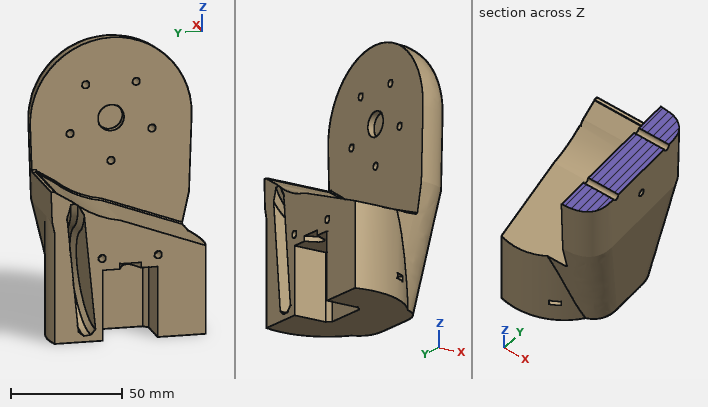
import cadquery as cq
import math


head_width = 74.9
head_radius = head_width / 2
total_height = 131.2
head_center_z = total_height - head_radius
plate_face_x = 35.4
plate_back_x = 52.5
plate_thickness = plate_back_x - plate_face_x
round_over_width = 14.2

taper_z = 57.0
taper_half_width = 36.2
foot_half_width = 23.6
foot_back_x = 45.8

barrel_radius = taper_half_width
barrel_axis_x = 9.2
root_chamfer = 0.8

clearance = 13.1

ramp_angle = 20.0
ramp_end = (4.5, 55.6)
hollow_middle = (15.1, 58.6)
hollow_end = (26.4, 65.5)
shelf_start = (34.8, 70.6)
shelf_z = 71.0

screw_circle_radius = 20.0
screw_count = 5
screw_diameter = 3.4
bore_diameter = 12.1
bore_depth = 3.4

pocket_width = 25.5
pocket_height = 32.9
pocket_depth = 19.2
pocket_chamfer = 2.2
notch_mouth_width = 10.0
notch_end_width = 5.1
notch_side_depth = 5.2
notch_depth = 7.0
notch_height = 2.5

pilot_spacing = 26.0
pilot_z = 38.5
pilot_diameter = 3.4
pilot_depth = 7.9
drill_tip_angle = 118.0

slot_width = 8.0
slot_chamfer = 2.4
slot_tilt = 5.6
slot_bottom_y = 19.5
slot_arc_radius = 24.9
slot_arc_center = (2.6, 27.8)
slot_lip_angle = 66.0
slot_exit_z = 65.0

recess_angle = 30.2
recess_width = 5.5
recess_depth = 5.2
recess_height = 2.5
recess_z = 10.0


def half_section(half_width, back_x):
    """Section in the XY plane from the middle out to one side, with a parabolic back corner."""
    return (
        cq.Workplane("XY")
        .lineTo(0, half_width)
        .lineTo(back_x - plate_thickness, half_width)
        .bezier([(back_x, half_width), (back_x, half_width - round_over_width)], includeCurrent=True)
        .lineTo(back_x, 0)
        .close()
    )


def make_body():
    """Round head with sides running tangent from it, tapering and thinning to the bottom."""
    corner_drop = head_center_z - taper_z
    corner_distance = math.hypot(taper_half_width, corner_drop)
    tangent_angle = math.degrees(
        math.atan2(corner_drop, taper_half_width) - math.acos(head_radius / corner_distance)
    )
    head = (
        half_section(head_radius, plate_back_x)
        .revolve(180 + 2 * tangent_angle, (0, 0), (1, 0))
        .rotate((0, 0, 0), (1, 0, 0), -tangent_angle)
        .translate((0, 0, head_center_z))
    )
    tangent_wire = (
        half_section(head_radius, plate_back_x)
        .wires()
        .val()
        .rotate((0, 0, 0), (1, 0, 0), -tangent_angle)
        .translate((0, 0, head_center_z))
    )
    taper_wire = half_section(taper_half_width, plate_back_x).wires().val().translate((0, 0, taper_z))
    bottom_wire = half_section(foot_half_width, foot_back_x).wires().val()
    side = cq.Solid.makeLoft([bottom_wire, taper_wire, tangent_wire], True)
    sides = cq.Workplane(side).union(cq.Workplane(side.mirror("XZ")))
    return head.union(sides)


def make_barrel():
    """Upright cylinder around the foot, cut flush with the block face."""
    barrel = cq.Workplane("XY").center(barrel_axis_x, 0).circle(barrel_radius).extrude(taper_z)
    front_half = cq.Workplane("XY").box(2 * barrel_radius, 2 * barrel_radius, taper_z,
                                        centered=(False, True, False))
    return barrel.intersect(front_half)


def space_above_block(x, lift):
    """Closed YZ outline of the space above the block's top line, raised by lift."""
    side_y = head_radius + clearance
    ramp_low_z = ramp_end[1] - (ramp_end[0] + side_y) * math.tan(math.radians(ramp_angle))
    return (
        cq.Workplane("YZ", origin=(x, 0, lift))
        .moveTo(-side_y, ramp_low_z)
        .lineTo(*ramp_end)
        .threePointArc(hollow_middle, hollow_end)
        .lineTo(*shelf_start)
        .lineTo(shelf_start[0], shelf_z)
        .lineTo(side_y, shelf_z)
        .lineTo(side_y, total_height + clearance)
        .lineTo(-side_y, total_height + clearance)
        .close()
    )


def make_top_cutter():
    """Clears the space above the block and leaves a chamfer along the plate face."""
    chamfer_x = plate_face_x - root_chamfer
    straight = space_above_block(-clearance, 0).extrude(chamfer_x + clearance)
    low_wire = space_above_block(chamfer_x, 0).wires().val()
    high_wire = space_above_block(plate_face_x, root_chamfer).wires().val()
    return straight.union(cq.Workplane(cq.Solid.makeLoft([low_wire, high_wire], True)))


def make_plate_holes():
    """Blind bore at the head center and a ring of through screw holes around it."""
    bore = (
        cq.Workplane("YZ", origin=(plate_face_x, 0, head_center_z))
        .circle(bore_diameter / 2)
        .extrude(bore_depth)
    )
    screws = (
        cq.Workplane("YZ", origin=(plate_face_x - clearance, 0, head_center_z))
        .polarArray(screw_circle_radius, -90, 360, screw_count)
        .circle(screw_diameter / 2)
        .extrude(plate_thickness + 2 * clearance)
    )
    return bore.union(screws)


def make_pocket():
    """Pocket with chamfered inner corners and a tapering notch in its ceiling."""
    pocket = (
        cq.Workplane("XY")
        .box(pocket_depth, pocket_width, pocket_height, centered=(False, True, False))
        .edges("|Z and >X")
        .chamfer(pocket_chamfer)
    )
    notch = (
        cq.Workplane("XY")
        .moveTo(0, -notch_mouth_width / 2)
        .lineTo(notch_side_depth, -notch_end_width / 2)
        .threePointArc((notch_depth, 0), (notch_side_depth, notch_end_width / 2))
        .lineTo(0, notch_mouth_width / 2)
        .close()
        .extrude(pocket_height + notch_height)
    )
    return pocket.union(notch)


def make_pilot_hole(y):
    """Blind drilled hole with a conical tip, turned about an axis along X."""
    radius = pilot_diameter / 2
    tip_length = radius / math.tan(math.radians(drill_tip_angle / 2))
    return (
        cq.Workplane("XY", origin=(0, y, pilot_z))
        .polyline([(0, 0), (pilot_depth + tip_length, 0), (pilot_depth, radius), (0, radius)])
        .close()
        .revolve(360, (0, 0), (1, 0))
    )


def make_slot():
    """Slot whose floor is an arc that flares out to the face at its upper end."""
    center_x, center_z = slot_arc_center
    lip = math.radians(slot_lip_angle)
    lip_x = center_x + slot_arc_radius * math.cos(lip)
    lip_z = center_z + slot_arc_radius * math.sin(lip)
    return (
        cq.Workplane("XZ", origin=(0, slot_width / 2, 0))
        .moveTo(center_x - slot_arc_radius, center_z)
        .threePointArc((center_x + slot_arc_radius, center_z), (lip_x, lip_z))
        .tangentArcPoint((0, slot_exit_z), relative=False)
        .lineTo(center_x - slot_arc_radius, slot_exit_z + clearance)
        .close()
        .extrude(slot_width)
        .faces("|Y")
        .edges()
        .chamfer(slot_chamfer)
        .rotate((0, 0, 0), (1, 0, 0), -slot_tilt)
        .translate((0, slot_bottom_y, 0))
    )


def make_side_recess():
    """Small rectangular recess sunk square to the barrel surface."""
    return (
        cq.Workplane("XY", origin=(0, -barrel_radius, recess_z))
        .box(recess_width, 2 * recess_depth, recess_height, centered=(True, True, False))
        .translate((barrel_axis_x, 0, 0))
        .rotate((barrel_axis_x, 0, 0), (barrel_axis_x, 0, 1), recess_angle)
    )


result = make_body().union(make_barrel())
result = result.cut(make_top_cutter())
result = result.cut(make_plate_holes())
result = result.cut(make_pocket())
for side in (-1, 1):
    result = result.cut(make_pilot_hole(side * pilot_spacing / 2))
result = result.cut(make_slot())
result = result.cut(make_side_recess())